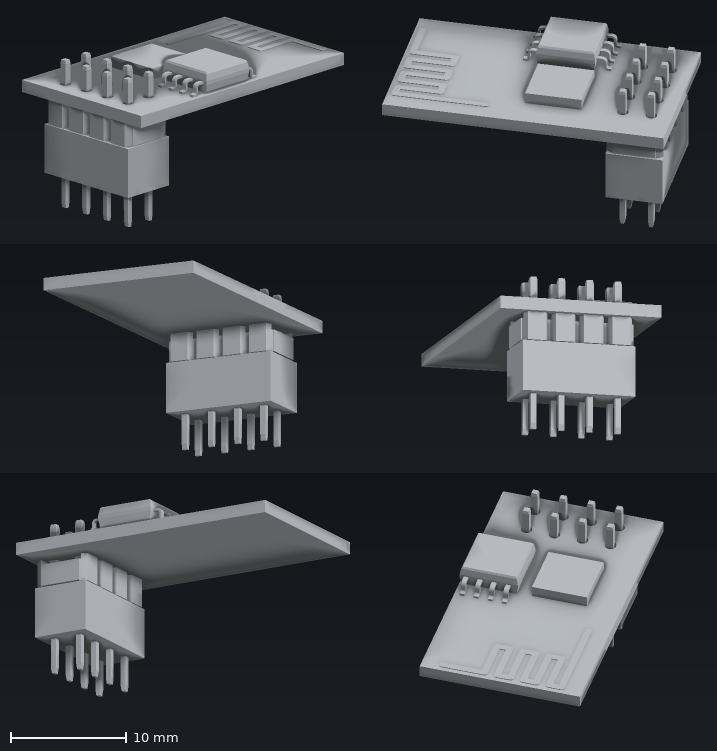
import cadquery as cq


board_width = 14.5
board_length = 25.0
board_thickness = 1.1

trace_width = 0.6
trace_height = 0.08
trace_corner_radius = 0.28
trace_top_y = 24.3
trace_bend_y = 20.5
trace_free_end_y = 16.22
trace_left_x = -5.38
trace_right_end_x = 5.7
first_bend_x = -4.28
bend_pitch = 1.18
bend_count = 6

flat_chip_side = 5.0
flat_chip_height = 1.0
flat_chip_center = (-1.78, 10.48)

memory_center = (4.5, 10.8)
memory_levels = [(4.9, 0.12), (5.05, 0.25), (5.28, 0.92), (5.28, 1.25), (5.05, 1.82), (4.82, 2.0)]

leads_per_side = 4
lead_pitch = 1.28
lead_row_x = 4.62
lead_width = 0.42
lead_thickness = 0.2
lead_top = 1.12
lead_root_reach = 2.5
lead_knee_reach = 3.5
lead_foot_reach = 3.9
knee_radius = 0.42
foot_radius = 0.15

column_count = 4
row_count = 2
header_length = 10.15
pin_pitch = header_length / column_count
header_depth = row_count * pin_pitch
header_center_y = 3.12

post_face_width = 1.65
post_bevel_slope = 0.52
core_depth = 3.8
core_top = -0.5
core_bottom = -2.42
post_bottom = -2.48
post_channel_depth = 4.05

socket_top = -2.55
socket_bottom = -7.0

pin_side = 0.62
pin_tip_side = 0.5
pin_tip_height = 0.3
pin_top = 3.32
pin_hole_diameter = 1.0

tail_side = 0.5
tail_tip_depth = 0.3
tail_tip_height = 0.52
tail_bottom = -10.15

pin_columns = [(i - (column_count - 1) / 2) * pin_pitch for i in range(column_count)]
pin_rows = [header_center_y + (i - (row_count - 1) / 2) * pin_pitch for i in range(row_count)]
pin_places = [(x, y) for x in pin_columns for y in pin_rows]


def block(width, depth, bottom, top, x=0.0, y=0.0):
    """Upright box centred on (x, y), between two heights."""
    return cq.Workplane("XY", origin=(x, y, bottom)).rect(width, depth).extrude(top - bottom)


def frustum(width, depth, end_width, end_depth, start, end, x, y):
    """Rectangular taper centred on (x, y), from height start to height end."""
    base = cq.Workplane("XY", origin=(x, y, start)).rect(width, depth)
    return base.workplane(offset=end - start).rect(end_width, end_depth).loft(ruled=True)


def make_board():
    board = block(board_width, board_length, 0, board_thickness, 0, board_length / 2)
    return board.cut(
        cq.Workplane("XY").pushPoints(pin_places).circle(pin_hole_diameter / 2).extrude(board_thickness)
    )


def trace_bar(start, end):
    """Straight piece of antenna whose ends reach half a trace width past its end points."""
    width = abs(end[0] - start[0]) + trace_width
    depth = abs(end[1] - start[1]) + trace_width
    x = (start[0] + end[0]) / 2
    y = (start[1] + end[1]) / 2
    bar = block(width, depth, board_thickness, board_thickness + trace_height, x, y)
    return bar.edges("|Z").fillet(trace_corner_radius)


def make_antenna():
    """Meandering trace: a long leg, evenly spaced bends, then a straight run to the right."""
    path = [(trace_left_x, trace_free_end_y), (trace_left_x, trace_top_y)]
    for i in range(bend_count):
        x = first_bend_x + i * bend_pitch
        ends = [(x, trace_top_y), (x, trace_bend_y)]
        if i % 2:
            ends.reverse()
        path += ends
    path.append((trace_right_end_x - trace_width / 2, trace_top_y))

    antenna = trace_bar(path[0], path[1])
    for start, end in zip(path[1:], path[2:]):
        antenna = antenna.union(trace_bar(start, end))
    return antenna


def make_flat_chip():
    top = board_thickness + flat_chip_height
    return block(flat_chip_side, flat_chip_side, board_thickness, top, *flat_chip_center)


def make_lead():
    """Gull-wing lead reaching toward +Y from the middle of the chip, centred on X = 0."""
    knee_inner = lead_knee_reach - lead_thickness
    underside = lead_top - lead_thickness
    inner_knee_radius = knee_radius - lead_thickness
    outer_foot_radius = foot_radius + lead_thickness
    profile = (
        cq.Workplane("YZ", origin=(-lead_width / 2, 0, 0))
        .moveTo(lead_root_reach, lead_top)
        .lineTo(lead_knee_reach - knee_radius, lead_top)
        .tangentArcPoint((lead_knee_reach, lead_top - knee_radius), relative=False)
        .lineTo(lead_knee_reach, outer_foot_radius)
        .tangentArcPoint((lead_knee_reach + foot_radius, lead_thickness), relative=False)
        .lineTo(lead_foot_reach, lead_thickness)
        .lineTo(lead_foot_reach, 0)
        .lineTo(lead_knee_reach + foot_radius, 0)
        .tangentArcPoint((knee_inner, outer_foot_radius), relative=False)
        .lineTo(knee_inner, underside - inner_knee_radius)
        .tangentArcPoint((knee_inner - inner_knee_radius, underside), relative=False)
        .lineTo(lead_root_reach, underside)
        .close()
    )
    return profile.extrude(lead_width)


def make_memory_chip():
    x, y = memory_center
    chip = None
    for (side, low), (next_side, high) in zip(memory_levels, memory_levels[1:]):
        start = board_thickness + low
        end = board_thickness + high
        layer = frustum(side, side, next_side, next_side, start, end, x, y)
        chip = layer if chip is None else chip.union(layer)

    back_lead = make_lead()
    front_lead = back_lead.mirror("XZ")
    for i in range(leads_per_side):
        lead_x = lead_row_x + (i - (leads_per_side - 1) / 2) * lead_pitch
        for lead in (back_lead, front_lead):
            chip = chip.union(lead.translate((lead_x, y, board_thickness)))
    return chip


def make_header():
    """Core bar with bevelled posts on its front and back, hanging from the board."""
    header = block(header_length, core_depth, core_bottom, core_top, 0, header_center_y)

    half_face = post_face_width / 2
    front = header_depth / 2
    root = core_depth / 2
    root_half = half_face + (front - root) * post_bevel_slope
    outline = [(-half_face, -front), (half_face, -front), (root_half, -root), (-root_half, -root)]
    post = cq.Workplane("XY", origin=(0, 0, post_bottom)).polyline(outline).close().extrude(-post_bottom)
    post = post.cut(block(pin_pitch, post_channel_depth, core_top, 0))
    for x in pin_columns:
        header = header.union(post.translate((x, header_center_y, 0)))
        header = header.union(post.mirror("XZ").translate((x, header_center_y, 0)))
    return header


def make_socket():
    return block(header_length, header_depth, socket_bottom, socket_top, 0, header_center_y)


def make_pin(x, y):
    """Header pin with a blunt tip tapered on four sides."""
    shoulder = pin_top - pin_tip_height
    shank = block(pin_side, pin_side, socket_top, shoulder, x, y)
    tip = frustum(pin_side, pin_side, pin_tip_side, pin_tip_side, shoulder, pin_top, x, y)
    return shank.union(tip)


def make_socket_tail(x, y):
    """Socket pin whose lower tip narrows only along Y."""
    shoulder = tail_bottom + tail_tip_height
    shank = block(tail_side, tail_side, shoulder, socket_bottom, x, y)
    tip = frustum(tail_side, tail_side, tail_side, tail_tip_depth, shoulder, tail_bottom, x, y)
    return shank.union(tip)


result = make_board().union(make_antenna()).union(make_flat_chip()).union(make_memory_chip())
result = result.union(make_header()).union(make_socket())
for pin_x, pin_y in pin_places:
    result = result.union(make_pin(pin_x, pin_y)).union(make_socket_tail(pin_x, pin_y))